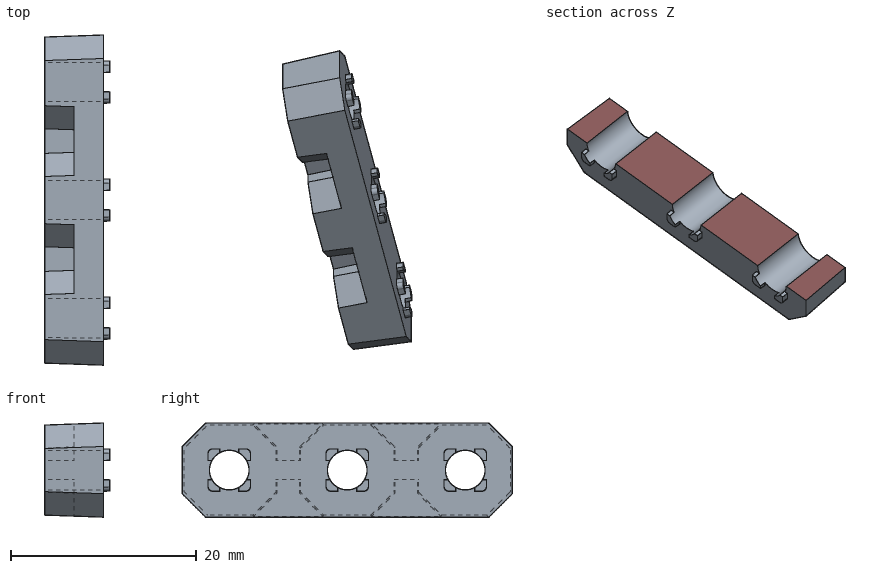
import math

import cadquery as cq

pitch = 12.7
lug_count = 3
lug_width = 10.16
corner_leg = 2.54
body_depth = 6.35
draft_angle = 2.0
hole_diameter = 4.24

pocket_depth = body_depth / 2
pocket_gap = 2.54
pocket_corner = 7.51
web_thickness = 2.03

peg_height = 0.69
peg_inner = 1.02
peg_outer = 2.29
peg_corner_radius = 0.51

body_length = (lug_count - 1) * pitch + lug_width
draft_slope = math.tan(math.radians(draft_angle))
lug_centers = [(i - (lug_count - 1) / 2) * pitch for i in range(lug_count)]
gap_centers = [y + pitch / 2 for y in lug_centers[:-1]]
signs = (-1, 1)


def polygon(x, points):
    """Closed wire through (y, z) points in the plane at the given X."""
    return cq.Wire.makePolygon([cq.Vector(x, y, z) for y, z in points], close=True)


def bar_wire(x, inset):
    """Rectangle with equal 45 degree corners, moved inwards by inset."""
    half_y = body_length / 2 - inset
    half_z = lug_width / 2 - inset
    points = [
        (half_y - corner_leg, half_z), (half_y, half_z - corner_leg),
        (half_y, corner_leg - half_z), (half_y - corner_leg, -half_z),
        (corner_leg - half_y, -half_z), (-half_y, corner_leg - half_z),
        (-half_y, half_z - corner_leg), (corner_leg - half_y, half_z),
    ]
    return polygon(x, points)


def make_body():
    """Drafted bar, widest at the peg face."""
    narrow = bar_wire(0, body_depth * draft_slope)
    wide = bar_wire(body_depth, 0)
    return cq.Workplane(cq.Solid.makeLoft([narrow, wide], True))


def pocket_wire(x, y_center, side):
    """Funnel-shaped pocket outline: narrow by the web, flaring at 45 degrees outwards."""
    widening = (pocket_depth / 2 - x) * draft_slope
    half_gap = pocket_gap / 2 + widening
    corner_sum = pocket_corner - 2 * widening
    z_web = web_thickness / 2
    z_flare = corner_sum - (pitch / 2 - half_gap)
    z_open = lug_width / 2
    half_open = pitch / 2 - (corner_sum - z_open)
    right = [(half_gap, z_web), (half_gap, z_flare), (half_open, z_open)]
    left = [(-y, z) for y, z in reversed(right)]
    return polygon(x, [(y_center + y, side * z) for y, z in right + left])


def make_pocket(y_center, side):
    """Drafted pocket between two lugs, on the +Z or -Z side of the web."""
    mouth = pocket_wire(0, y_center, side)
    floor = pocket_wire(pocket_depth, y_center, side)
    return cq.Workplane(cq.Solid.makeLoft([mouth, floor], True))


def make_peg(y_center, y_side, z_side):
    """Drafted square peg on the wide face, rounded at the corner away from the hole."""
    round_start = peg_outer - peg_corner_radius
    arc_middle = round_start + peg_corner_radius * math.sqrt(0.5)

    def corner(y, z):
        return y_side * y, z_side * z

    return (
        cq.Workplane("YZ", origin=(body_depth, y_center, 0))
        .moveTo(*corner(peg_inner, peg_inner))
        .lineTo(*corner(peg_outer, peg_inner))
        .lineTo(*corner(peg_outer, round_start))
        .threePointArc(corner(arc_middle, arc_middle), corner(round_start, peg_outer))
        .lineTo(*corner(peg_inner, peg_outer))
        .close()
        .extrude(peg_height, taper=draft_angle)
    )


def make_hole(y_center):
    """Through hole, which also trims the inner corners of the pegs."""
    return (
        cq.Workplane("YZ", origin=(0, y_center, 0))
        .circle(hole_diameter / 2)
        .extrude(body_depth + peg_height)
    )


result = make_body()

for gap_y in gap_centers:
    for z_sign in signs:
        result = result.cut(make_pocket(gap_y, z_sign))

for lug_y in lug_centers:
    for y_sign in signs:
        for z_sign in signs:
            result = result.union(make_peg(lug_y, y_sign, z_sign))
    result = result.cut(make_hole(lug_y))